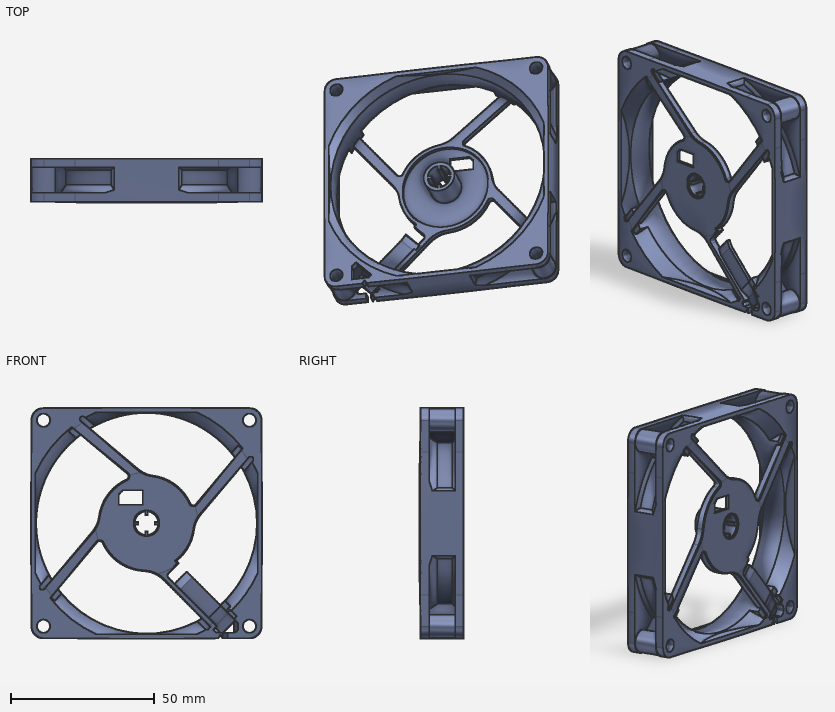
import cadquery as cq
import math


FRAME_SIDE = 80.0
SIDE_BULGE = 0.135
BULGE_HALF_LENGTH = 24.85
CROWN_OVERLAP = 1.0
FRAME_DEPTH = 15.0
HOLE_OFFSET = 71.5 / 2
CORNER_RADIUS = FRAME_SIDE / 2 - HOLE_OFFSET
HOLE_DIAMETER = 4.5

THROAT_RADIUS = 38.3
FRONT_MOUTH_RADIUS = 42.3
BACK_MOUTH_RADIUS = 41.1
FRONT_CONE_DEPTH = 4.2
BACK_CONE_START = 13.0
OPENING_HALF = 38.55

FRONT_FLANGE = 3.1
BACK_FLANGE_START = 12.0
DUCT_OUTER_RADIUS = 40.1
DUCT_OUTER_FRONT = 5.85
DUCT_OUTER_BACK = 11.0
DUCT_FRONT_OUTER_RADIUS = 42.6
DUCT_BACK_OUTER_RADIUS = 41.4
POST_RADIUS = 4.0
WEB_THICKNESS = 1.1
POCKET_END_OUTER = 11.3
POCKET_MARGIN = 5.0
POCKET_END_SLOPE = 0.55

HUB_RADIUS = 16.7
HUB_FRONT = -0.4
HUB_FLAT_RADIUS = 17.8
SLOPE_END_RADIUS = 41.5
SPIDER_BACK = 2.2
SPIDER_EDGE = 0.35
HUB_CAVITY_RADIUS = 15.3
HUB_PLATE_THICKNESS = 1.25
STRUT_ANGLES = (50, 140, 230)
STRUT_INNER = 8.9
STRUT_OUTER = 12.5
STRUT_LENGTH = 42.0
JUNCTION_SMALL_RADIUS = 1.2
JUNCTION_LARGE_RADIUS = 10.0

ROOT_SIDE = 1.9
ROOT_DEPTH = 0.7
ROOT_NOTCH_END = 41.2
ROOT_START = 30.0
ROOT_END = 41.0
ROOT_BACK = 7.0

TUBE_OUTER_RADIUS = 5.5
TUBE_BACK = 11.0
BORE_RADIUS = 4.1
BORE_MOUTH_RADIUS = 4.5
BORE_MOUTH_DEPTH = 0.6
KEY_TIP_RADIUS = 2.85
KEY_WIDTH = 1.0

WINDOW_LEFT, WINDOW_RIGHT = -9.6, -1.35
WINDOW_BOTTOM, WINDOW_TOP = 6.5, 11.4
WINDOW_CHAMFER = 1.4

CHANNEL_ANGLE = -45
WALL_INNER = 8.0
WALL_OUTER = 9.7
WALL_MIDDLE = (WALL_INNER + WALL_OUTER) / 2
WALL_SHARP_START = 4.0
FLOOR_EDGE = 2.0
FLOOR_THICKNESS = 1.2
FLOOR_POINTS = ((21.75, 1.5), (24.4, 0.85), (38.5, 1.05), (42.0, 2.25), (45.7, 2.45))
HUB_LIP_LENGTH = 17.7
HUB_LIP_EDGE = 1.9
CHANNEL_ROOT_INNER = 1.7

EXIT_START = 42.6
EXIT_RIGHT = 30.3
EXIT_BOTTOM = 38.0
EXIT_RELIEF_RIGHT = 31.9
EXIT_RELIEF_TOP = 33.8
EXIT_RELIEF_RADIUS = 1.9
EXIT_SLIT_LEFT = 26.4
EXIT_SLIT_RIGHT = 28.2
EXIT_NOTCH_WIDTH = 1.5
EXIT_NOTCH_HEIGHT = 1.2
RECESS_START = 41.7
RECESS_END = 45.0
RECESS_EDGE = 0.7
RECESS_DEPTH = 0.5

HALF = FRAME_SIDE / 2


def plane_at(y):
    """Sketch plane facing the front: sketch x is X, sketch y is Z."""
    return cq.Workplane("XZ", origin=(0, y, 0))


def block(x_min, x_max, z_min, z_max, y_front, y_back):
    size = (x_max - x_min, y_back - y_front, z_max - z_min)
    return cq.Workplane("XY").box(*size, centered=False).translate((x_min, y_front, z_min))


def prism(points, y_front, y_back):
    return plane_at(y_front).polyline(points).close().extrude(y_front - y_back)


def cylinder(radius, y_front, y_back, x=0, z=0):
    return plane_at(y_front).center(x, z).circle(radius).extrude(y_front - y_back)


def turn(shape, angle):
    """Turn about the axis, from +X towards +Z."""
    return shape.rotate((0, 0, 0), (0, -1, 0), angle)


def revolve(radius_depth_points):
    profile = cq.Workplane("XY").polyline(radius_depth_points).close()
    return profile.revolve(360, (0, 0, 0), (0, 1, 0))


def frame_blank():
    body = block(-HALF, HALF, -HALF, HALF, 0, FRAME_DEPTH).edges("|Y").fillet(CORNER_RADIUS)
    crown = (
        plane_at(0)
        .moveTo(-BULGE_HALF_LENGTH, HALF)
        .threePointArc((0, HALF + SIDE_BULGE), (BULGE_HALF_LENGTH, HALF))
        .lineTo(BULGE_HALF_LENGTH, HALF - CROWN_OVERLAP)
        .lineTo(-BULGE_HALF_LENGTH, HALF - CROWN_OVERLAP)
        .close()
        .extrude(-FRAME_DEPTH)
    )
    for quarter in range(4):
        body = body.union(turn(crown, 90 * quarter))
    return body


def duct_mouths():
    """Cones that widen the throat towards the front and the back."""
    front = revolve([
        (0, 0),
        (FRONT_MOUTH_RADIUS, 0),
        (THROAT_RADIUS, FRONT_CONE_DEPTH),
        (0, FRONT_CONE_DEPTH),
    ])
    back = revolve([
        (0, BACK_CONE_START),
        (THROAT_RADIUS, BACK_CONE_START),
        (BACK_MOUTH_RADIUS, FRAME_DEPTH),
        (0, FRAME_DEPTH),
    ])
    opening = block(-OPENING_HALF, OPENING_HALF, -OPENING_HALF, OPENING_HALF, 0, FRAME_DEPTH)
    return front.union(back).intersect(opening)


def corner_pocket():
    """Pocket at the (+X, +Z) corner, leaving the duct wall, the hole post and a web between them."""
    outside = HALF + POCKET_MARGIN
    inside = HALF - POCKET_MARGIN
    end_outside = POCKET_END_OUTER - POCKET_END_SLOPE * POCKET_MARGIN
    end_inside = POCKET_END_OUTER + POCKET_END_SLOPE * POCKET_MARGIN
    pocket = prism(
        [
            (end_outside, outside),
            (end_inside, inside),
            (inside, end_inside),
            (outside, end_outside),
            (outside, outside),
        ],
        FRONT_FLANGE,
        BACK_FLANGE_START,
    )
    duct_wall = revolve([
        (0, FRONT_FLANGE),
        (DUCT_FRONT_OUTER_RADIUS, FRONT_FLANGE),
        (DUCT_OUTER_RADIUS, DUCT_OUTER_FRONT),
        (DUCT_OUTER_RADIUS, DUCT_OUTER_BACK),
        (DUCT_BACK_OUTER_RADIUS, BACK_FLANGE_START),
        (0, BACK_FLANGE_START),
    ])
    post = cylinder(POST_RADIUS, FRONT_FLANGE, BACK_FLANGE_START, HOLE_OFFSET, HOLE_OFFSET)
    post_distance = HOLE_OFFSET * math.sqrt(2)
    half_web = WEB_THICKNESS / 2
    web = block(THROAT_RADIUS, post_distance, -half_web, half_web, FRONT_FLANGE, BACK_FLANGE_START)
    return pocket.cut(duct_wall).cut(post).cut(turn(web, 45))


def root_ledge(inner, outer):
    """Ledge that carries a strut end, before the throat is cut; strut direction +X, offset towards -Z."""
    return block(ROOT_START, ROOT_END, -outer, -inner, ROOT_DEPTH, ROOT_BACK)


def root_notch(inner, outer):
    """Round-ended relief beside a strut end, down to the ledge."""
    middle = -(inner + outer) / 2
    radius = (outer - inner) / 2
    end = ROOT_NOTCH_END - radius
    straight = block(ROOT_START, end, -outer, -inner, 0, ROOT_DEPTH)
    return straight.union(cylinder(radius, 0, ROOT_DEPTH, end, middle))


def strut_roots(body):
    """Add the ledge of each strut end to the duct wall and cut the reliefs beside the strut."""
    strut_sides = [(angle, STRUT_INNER, STRUT_OUTER) for angle in STRUT_ANGLES]
    strut_sides.append((CHANNEL_ANGLE, CHANNEL_ROOT_INNER, WALL_OUTER))
    for angle, inner, outer in strut_sides:
        body = body.union(turn(root_ledge(inner - ROOT_SIDE, outer + ROOT_SIDE), angle))
        for notch_inner, notch_outer in ((inner - ROOT_SIDE, inner), (outer, outer + ROOT_SIDE)):
            body = body.cut(turn(root_notch(notch_inner, notch_outer), angle))
    return body


def channel_floor():
    """Floor of the cable channel: climbs from the hub end, then steps down into the frame."""
    back_points = [(along, y + FLOOR_THICKNESS) for along, y in reversed(FLOOR_POINTS)]
    profile = cq.Workplane("XY", origin=(0, 0, -FLOOR_EDGE)).polyline([*FLOOR_POINTS, *back_points])
    return profile.close().extrude(FLOOR_EDGE - WALL_MIDDLE)


def channel_clearance():
    """Space for the cable in front of the channel floor."""
    front_points = [(FLOOR_POINTS[-1][0], HUB_FRONT), (FLOOR_POINTS[0][0], HUB_FRONT)]
    profile = cq.Workplane("XY", origin=(0, 0, -FLOOR_EDGE)).polyline([*FLOOR_POINTS, *front_points])
    return profile.close().extrude(FLOOR_EDGE - WALL_INNER)


def channel_exit():
    """Opening through the frame corner where the cable leaves the channel."""
    passage = block(EXIT_START, FRAME_SIDE, -WALL_OUTER, -FLOOR_EDGE, 0, FRAME_DEPTH)
    limit = block(0, EXIT_RIGHT, -EXIT_BOTTOM, 0, 0, FRAME_DEPTH)
    opening = turn(passage, CHANNEL_ANGLE).intersect(limit)
    front_relief = (
        block(EXIT_SLIT_LEFT, EXIT_RELIEF_RIGHT, -EXIT_BOTTOM, -EXIT_RELIEF_TOP, 0, FRONT_FLANGE)
        .edges("|Y and >X")
        .fillet(EXIT_RELIEF_RADIUS)
    )
    slit = block(EXIT_SLIT_LEFT, EXIT_SLIT_RIGHT, -FRAME_SIDE, -EXIT_RELIEF_TOP, 0, FRONT_FLANGE)
    notch = prism(
        [
            (EXIT_SLIT_LEFT - EXIT_NOTCH_WIDTH, -HALF),
            (EXIT_SLIT_LEFT, -HALF),
            (EXIT_SLIT_LEFT - EXIT_NOTCH_WIDTH / 2, -HALF + EXIT_NOTCH_HEIGHT),
        ],
        0,
        FRAME_DEPTH,
    )
    recess = block(RECESS_START, RECESS_END, -FLOOR_EDGE, -RECESS_EDGE, 0, RECESS_DEPTH)
    return opening.union(front_relief).union(slit).union(notch).union(turn(recess, CHANNEL_ANGLE))


def frame():
    body = strut_roots(frame_blank().cut(duct_mouths()))
    pocket = corner_pocket()
    for quarter in range(4):
        body = body.cut(turn(pocket, 90 * quarter))
    for x in (-HOLE_OFFSET, HOLE_OFFSET):
        for z in (-HOLE_OFFSET, HOLE_OFFSET):
            body = body.cut(cylinder(HOLE_DIAMETER / 2, 0, FRAME_DEPTH, x, z))
    return body.cut(cylinder(THROAT_RADIUS, 0, FRAME_DEPTH)).cut(channel_exit())


def fillet_junction(body, angle, offset, radius):
    """Round the corner where a side at this offset leaves the hub circle."""
    along = math.sqrt(HUB_RADIUS**2 - offset**2)
    radians = math.radians(angle)
    x = along * math.cos(radians) + offset * math.sin(radians)
    z = along * math.sin(radians) - offset * math.cos(radians)
    corner = cq.selectors.NearestToPointSelector((x, (HUB_FRONT + SPIDER_BACK) / 2, z))
    return body.edges("|Y").edges(corner).fillet(radius)


def spider():
    body = cylinder(HUB_RADIUS, HUB_FRONT, SPIDER_BACK)
    strut = block(0, STRUT_LENGTH, -STRUT_OUTER, -STRUT_INNER, HUB_FRONT, SPIDER_BACK)
    for angle in STRUT_ANGLES:
        body = body.union(turn(strut, angle))
    wall = block(0, STRUT_LENGTH, -WALL_OUTER, -WALL_INNER, HUB_FRONT, SPIDER_BACK)
    lip = block(0, HUB_LIP_LENGTH, -WALL_OUTER, -HUB_LIP_EDGE, HUB_FRONT, SPIDER_BACK)
    inner_corner = cq.selectors.NearestToPointSelector((HUB_LIP_LENGTH, 0, -WALL_INNER))
    channel_side = lip.union(wall).edges("|Y").edges(inner_corner).fillet(JUNCTION_SMALL_RADIUS)
    body = body.union(turn(channel_side, CHANNEL_ANGLE))
    for angle in STRUT_ANGLES:
        body = fillet_junction(body, angle, STRUT_INNER, JUNCTION_SMALL_RADIUS)
        body = fillet_junction(body, angle, STRUT_OUTER, JUNCTION_LARGE_RADIUS)
    body = fillet_junction(body, CHANNEL_ANGLE, WALL_OUTER, JUNCTION_LARGE_RADIUS)
    body = body.faces("<Y").edges().chamfer(SPIDER_EDGE)
    sharp_zone = block(0, STRUT_LENGTH, -WALL_MIDDLE, -WALL_SHARP_START, HUB_FRONT, SPIDER_BACK)
    body = body.union(turn(channel_side.intersect(sharp_zone), CHANNEL_ANGLE))
    sloped_front = revolve([
        (0, HUB_FRONT),
        (HUB_FLAT_RADIUS, HUB_FRONT),
        (SLOPE_END_RADIUS, 0),
        (FRAME_SIDE, 0),
        (FRAME_SIDE, SPIDER_BACK),
        (0, SPIDER_BACK),
    ])
    body = body.intersect(sloped_front)
    return body.cut(cylinder(HUB_CAVITY_RADIUS, HUB_FRONT + HUB_PLATE_THICKNESS, SPIDER_BACK))


def hub_window():
    window = block(WINDOW_LEFT, WINDOW_RIGHT, WINDOW_BOTTOM, WINDOW_TOP, HUB_FRONT, SPIDER_BACK)
    return window.edges("|Y and <X and >Z").chamfer(WINDOW_CHAMFER)


def bearing_bore():
    bore = cylinder(BORE_RADIUS, HUB_FRONT, TUBE_BACK)
    for quarter in range(4):
        key = block(KEY_TIP_RADIUS, TUBE_OUTER_RADIUS, -KEY_WIDTH / 2, KEY_WIDTH / 2, HUB_FRONT, TUBE_BACK)
        bore = bore.cut(turn(key, 90 * quarter))
    return bore.union(cylinder(BORE_MOUTH_RADIUS, HUB_FRONT, HUB_FRONT + BORE_MOUTH_DEPTH))


hub = spider().union(cylinder(TUBE_OUTER_RADIUS, HUB_FRONT, TUBE_BACK))
hub = hub.cut(bearing_bore()).cut(hub_window())

housing = frame().cut(turn(channel_clearance(), CHANNEL_ANGLE))
result = housing.union(hub).union(turn(channel_floor(), CHANNEL_ANGLE))